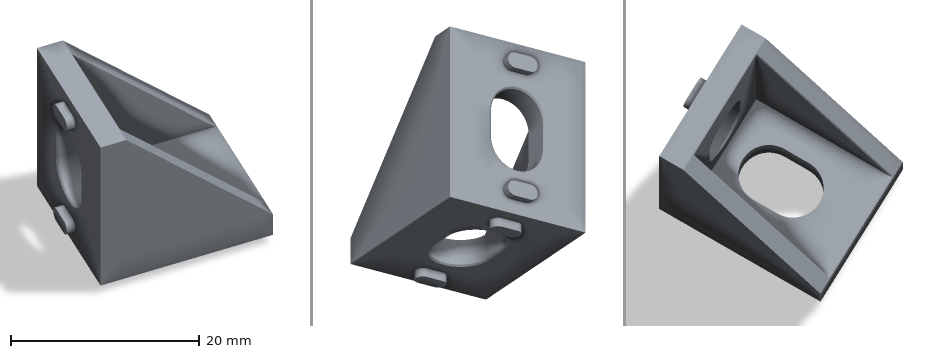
import cadquery as cq

width = 17.0
total_length = 21.0
peg_height = 1.0
leg_length = total_length - peg_height
tip_height = 2.98
tip_bevel = 0.08
leg_thickness = tip_height + tip_bevel
gusset_thickness = 2.05
gusset_bevel = 0.13

slot_width = 6.5
slot_length = 9.5
slot_chamfer = 0.19

peg_length = 3.7
peg_width = 1.76
peg_spacing = 15.0

leg_middle = leg_length / 2
upright_face = cq.Plane(origin=(0, 0, leg_middle), xDir=(1, 0, 0), normal=(0, -1, 0))
base_face = cq.Plane(origin=(0, leg_middle, 0), xDir=(1, 0, 0), normal=(0, 0, -1))


def make_body():
    """Wedge hollowed between the gussets, with the inner gusset edges bevelled."""
    body = (
        cq.Workplane("YZ")
        .polyline([
            (0, 0),
            (leg_length, 0),
            (leg_length, tip_height),
            (tip_height, leg_length),
            (0, leg_length),
        ])
        .close()
        .extrude(width / 2, both=True)
    )
    pocket = (
        cq.Workplane("XY")
        .box(width - 2 * gusset_thickness, leg_length, leg_length, centered=(True, False, False))
        .translate((0, leg_thickness, leg_thickness))
    )
    inner_space = cq.selectors.BoxSelector(
        (-width / 2 + gusset_thickness / 2, leg_thickness, leg_thickness),
        (width / 2 - gusset_thickness / 2, leg_length, leg_length),
    )
    return body.cut(pocket).edges("|(0, 1, -1)").edges(inner_space).chamfer(gusset_bevel)


def bolt_slot(face):
    """Slot through one leg, widened by a chamfer at its outer face."""
    through = cq.Workplane(face).slot2D(slot_length, slot_width, 90).extrude(-leg_thickness)
    mouth = (
        cq.Workplane(face)
        .slot2D(slot_length + 2 * slot_chamfer, slot_width + 2 * slot_chamfer, 90)
        .extrude(-slot_chamfer, taper=45)
    )
    return through.union(mouth)


def pegs(face):
    """Pair of rounded pegs above and below the bolt slot."""
    return (
        cq.Workplane(face)
        .pushPoints([(0, -peg_spacing / 2), (0, peg_spacing / 2)])
        .slot2D(peg_length, peg_width)
        .extrude(peg_height)
    )


result = make_body()
for outer_face in (upright_face, base_face):
    result = result.cut(bolt_slot(outer_face)).union(pegs(outer_face))